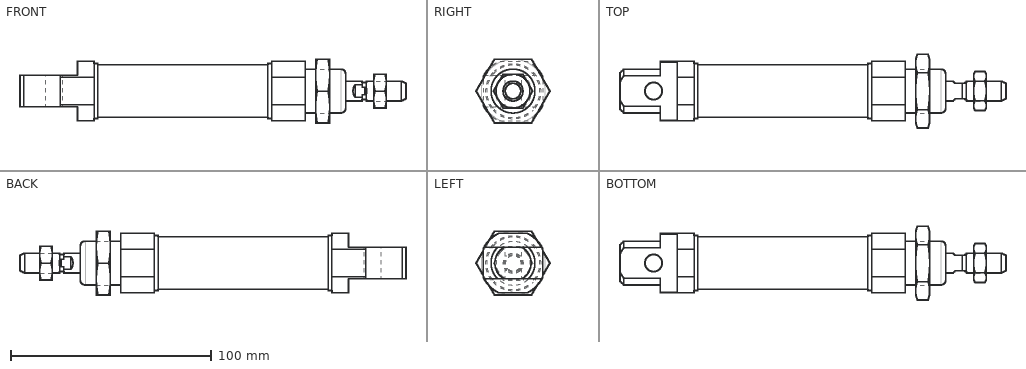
import cadquery as cq
import math


total_length = 193.0
rear_shoulder_x = 20.0
rear_step_x = 28.8
rear_cap_end = 37.0
collar_length = 2.0
front_cap_start = 125.8
front_cap_end = 142.6
neck_end = 162.9
tube_start = rear_cap_end + collar_length
tube_end = front_cap_start - collar_length

cap_across_flats = 30.0
cap_corner_diameter = 33.0
collar_diameter = 27.6
neck_diameter = 22.0
neck_fillet = 2.5

eye_diameter = 22.0
eye_thickness = 15.8
eye_chamfer = 2.0
pin_hole_x = 16.8
pin_hole_diameter = 8.5

tube_diameter = 26.5

rod_diameter = 10.0
rod_tip_chamfer_length = 2.3
rod_tip_chamfer_depth = 1.2
groove_start = 171.0
groove_end = 173.1
groove_diameter = 8.7
wrench_flat_start = 167.5
wrench_flat_end = 172.3
wrench_across_flats = 8.0

mounting_nut_start = 147.8
mounting_nut_thickness = 7.0
mounting_nut_across_flats = 32.0
rod_nut_start = 176.8
rod_nut_thickness = 6.4
rod_nut_across_flats = 17.0
nut_chamfer_length = 0.8


def turned(points):
    """Turn a closed (x, radius) outline around the X axis."""
    return cq.Workplane("XZ").polyline(points).close().revolve(360, (0, 0, 0), (1, 0, 0))


def cylinder(start, end, diameter):
    radius = diameter / 2
    return turned([(start, 0), (start, radius), (end, radius), (end, 0)])


def slab(start, end, width, height):
    """Block centred on the X axis, `width` along Y and `height` along Z."""
    return cq.Workplane("XY").box(end - start, width, height, (False, True, True)).translate((start, 0, 0))


def cap_block(start, end):
    """Square bar with its four corners rounded by a larger cylinder."""
    square = slab(start, end, cap_across_flats, cap_across_flats)
    return square.intersect(cylinder(start, end, cap_corner_diameter))


def make_rear_cap():
    eye = turned(
        [
            (0, 0),
            (0, eye_diameter / 2 - eye_chamfer),
            (eye_chamfer, eye_diameter / 2),
            (rear_shoulder_x, eye_diameter / 2),
            (rear_shoulder_x, 0),
        ]
    )
    tongue_limits = slab(0, rear_step_x, cap_across_flats, eye_thickness)
    tongue = eye.union(cap_block(rear_shoulder_x, rear_step_x)).intersect(tongue_limits)
    cap = tongue.union(cap_block(rear_step_x, rear_cap_end))
    cap = cap.union(cylinder(rear_cap_end, tube_start, collar_diameter))
    pin_hole = (
        cq.Workplane("XY")
        .center(pin_hole_x, 0)
        .circle(pin_hole_diameter / 2)
        .extrude(eye_thickness / 2, both=True)
    )
    return cap.cut(pin_hole)


def make_tube():
    return cylinder(tube_start, tube_end, tube_diameter)


def make_front_cap():
    collar = cylinder(tube_end, front_cap_start, collar_diameter)
    neck = cylinder(front_cap_end, neck_end, neck_diameter).faces(">X").edges().fillet(neck_fillet)
    return collar.union(cap_block(front_cap_start, front_cap_end)).union(neck)


def wrench_flat_cutter(side):
    """Prism with 45 degree ends that mills one wrench flat on the +Y or -Y side."""
    floor = wrench_across_flats / 2
    depth = rod_diameter / 2
    return (
        cq.Workplane("XY")
        .polyline(
            [
                (wrench_flat_start, side * floor),
                (wrench_flat_end, side * floor),
                (wrench_flat_end + depth, side * (floor + depth)),
                (wrench_flat_start - depth, side * (floor + depth)),
            ]
        )
        .close()
        .extrude(rod_diameter, both=True)
    )


def make_piston_rod():
    radius = rod_diameter / 2
    rod = turned(
        [
            (neck_end, 0),
            (neck_end, radius),
            (total_length - rod_tip_chamfer_length, radius),
            (total_length, radius - rod_tip_chamfer_depth),
            (total_length, 0),
        ]
    )
    groove_core = cylinder(groove_start, groove_end, groove_diameter)
    groove = cylinder(groove_start, groove_end, rod_diameter).cut(groove_core)
    rod = rod.cut(groove)
    for side in (-1, 1):
        rod = rod.cut(wrench_flat_cutter(side))
    return rod


def make_nut(start, thickness, across_flats, bore_diameter):
    """Hexagon nut with corners on +Y and -Y, chamfered on both faces."""
    end = start + thickness
    corner_diameter = across_flats / math.cos(math.pi / 6)
    face_radius = across_flats / 2
    face_plane = cq.Workplane("YZ").workplane(offset=start)
    hexagon = face_plane.polygon(6, corner_diameter).extrude(thickness)
    corner_limits = turned(
        [
            (start, 0),
            (start, face_radius),
            (start + nut_chamfer_length, corner_diameter / 2),
            (end - nut_chamfer_length, corner_diameter / 2),
            (end, face_radius),
            (end, 0),
        ]
    )
    return hexagon.intersect(corner_limits).cut(cylinder(start, end, bore_diameter))


rear_cap = make_rear_cap()
tube = make_tube()
front_cap = make_front_cap()
piston_rod = make_piston_rod()
mounting_nut = make_nut(
    mounting_nut_start, mounting_nut_thickness, mounting_nut_across_flats, neck_diameter
)
rod_nut = make_nut(rod_nut_start, rod_nut_thickness, rod_nut_across_flats, rod_diameter)

result = cq.Compound.makeCompound(
    [
        rear_cap.val(),
        tube.val(),
        front_cap.val(),
        piston_rod.val(),
        mounting_nut.val(),
        rod_nut.val(),
    ]
)